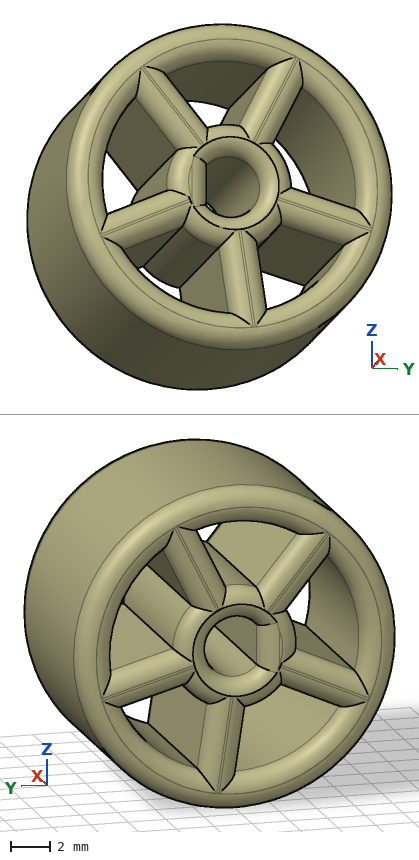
import cadquery as cq

width = 11.02
edge_rounding = 0.94

rim_radius = 8.5
rim_inner_radius = 6.61

hub_radius = 3.25
bore_radius = 1.6
bore_flat_offset = 1.2

spoke_width = 2.0
spoke_angles = (-16, 63.5, 129, 204, 278.5)

rim_crest_radius = (rim_radius + rim_inner_radius) / 2
hub_crest_radius = (hub_radius + bore_radius) / 2


def disc(radius):
    """Full-width cylinder along X."""
    return cq.Workplane("YZ", origin=(-width / 2, 0, 0)).circle(radius).extrude(width)


def rounded_rim():
    ring = disc(rim_radius).cut(disc(rim_inner_radius))
    return ring.faces("<X or >X").edges().fillet(edge_rounding)


def bored_core():
    """Oversize hub blank with a round bore whose mouths are rounded."""
    inner_edges = cq.selectors.RadiusNthSelector(0)
    core = disc(rim_inner_radius).cut(disc(bore_radius))
    return core.faces("<X or >X").edges(inner_edges).fillet(edge_rounding)


def bore_flat():
    """Segment on the -Y side that turns the round bore into a D, with rounded mouths."""
    depth = hub_radius - bore_flat_offset
    block = cq.Workplane("XY").box(width, depth, 2 * hub_radius)
    block = block.edges("|Z and >Y").fillet(edge_rounding)
    return block.translate((0, -bore_flat_offset - depth / 2, 0))


def rounded_hub():
    """The bore roundings overlap the outer ones in a ridge, except at the thicker flat side."""
    envelope = disc(hub_radius).edges("%CIRCLE").fillet(edge_rounding)
    return bored_core().union(bore_flat()).intersect(envelope)


def spoke(angle):
    """Full-width bar from the hub crest to the rim crest, its long edges rounded."""
    length = rim_crest_radius - hub_crest_radius
    middle = (rim_crest_radius + hub_crest_radius) / 2
    bar = cq.Workplane("XY").box(width, length, spoke_width)
    bar = bar.edges("|Y").fillet(edge_rounding)
    return bar.translate((0, middle, 0)).rotate((0, 0, 0), (1, 0, 0), angle)


result = rounded_rim().union(rounded_hub())
for spoke_angle in spoke_angles:
    result = result.union(spoke(spoke_angle))